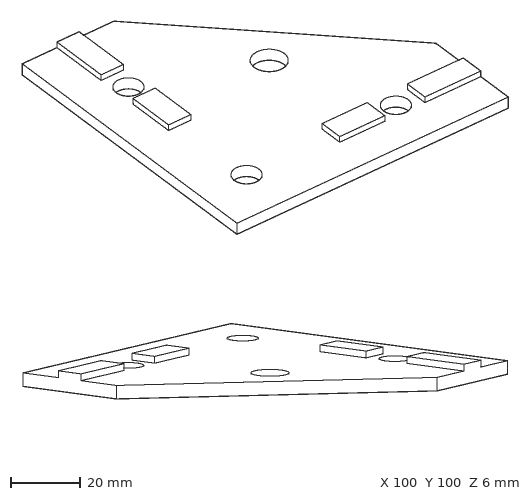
import cadquery as cq

side = 100.0
plate_thickness = 4.0

edge_offset = 17.0
bolt_spacing = 55.0
bolt_diameter = 9.0
center_offset = 40.0
center_diameter = 11.0

key_offset = 16.9
key_width = 8.2
key_height = 2.0
key_gap = 7.4
inner_key_length = 16.6

corner_cut = side - 2 * key_offset
corner_x = side - edge_offset
corner_y = edge_offset
arm_x = corner_x - bolt_spacing
arm_y = corner_y + bolt_spacing
outer_key_length = arm_x - key_gap


def make_plate():
    outline = [
        (0, 0),
        (side, 0),
        (side, side),
        (corner_cut, side),
        (0, side - corner_cut),
    ]
    return cq.Workplane("XY").polyline(outline).close().extrude(plate_thickness)


def make_key(x_start, length):
    """Key along X on the lower arm, standing on the plate."""
    return (
        cq.Workplane("XY")
        .box(length, key_width, key_height, centered=(False, True, False))
        .translate((x_start, key_offset, plate_thickness))
    )


def mirror_on_diagonal(body):
    """Mirror (x, y) to (side - y, side - x), the symmetry of the plate."""
    return body.mirror(cq.Vector(1, 1, 0), (side / 2, side / 2, 0))


def make_holes(points, diameter):
    return cq.Workplane("XY").pushPoints(points).circle(diameter / 2).extrude(plate_thickness)


result = make_plate()
for x_start, length in [(0, outer_key_length), (arm_x + key_gap, inner_key_length)]:
    key = make_key(x_start, length)
    result = result.union(key).union(mirror_on_diagonal(key))

bolt_points = [(corner_x, corner_y), (arm_x, corner_y), (corner_x, arm_y)]
center_point = (corner_x - center_offset, corner_y + center_offset)
result = result.cut(make_holes(bolt_points, bolt_diameter))
result = result.cut(make_holes([center_point], center_diameter))